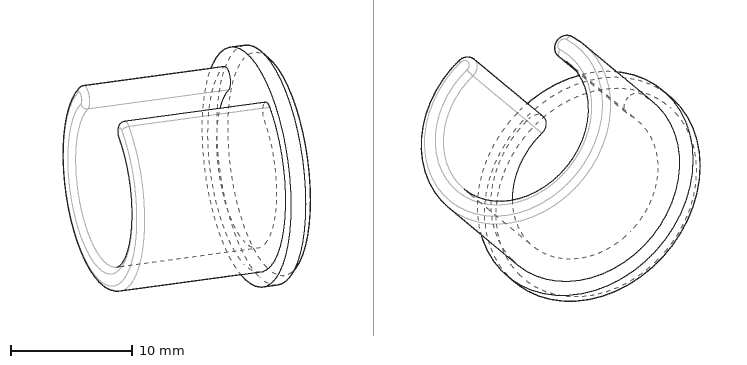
import cadquery as cq
import math

flange_diameter = 20.0
flange_thickness = 2.0
flange_chamfer = 0.7

sleeve_diameter = 17.5
sleeve_length = 13.0
wall = 2.0
rim_fillet = 0.5
half_opening_angle = 36.5

outer_radius = sleeve_diameter / 2
inner_radius = outer_radius - wall
middle_radius = outer_radius - wall / 2


def wall_point(radius, degrees):
    """Point at a radius and an angle measured from +Z towards +X."""
    angle = math.radians(degrees)
    return (radius * math.sin(angle), radius * math.cos(angle))


def end_tip(side):
    """Tip of a rounded wall end: half a wall thickness into the opening."""
    x, z = wall_point(middle_radius, side * half_opening_angle)
    angle = math.radians(half_opening_angle)
    return (x - side * wall / 2 * math.cos(angle), z + wall / 2 * math.sin(angle))


def make_flange():
    """Disc from Y = 0 to +Y, chamfered around its back face."""
    disc = cq.Workplane("XZ").circle(flange_diameter / 2).extrude(-flange_thickness)
    return disc.faces(">Y").edges().chamfer(flange_chamfer)


def make_sleeve():
    """Open ring with rounded wall ends and a filleted free rim."""
    profile = (
        cq.Workplane("XZ")
        .moveTo(*wall_point(outer_radius, half_opening_angle))
        .threePointArc((0, -outer_radius), wall_point(outer_radius, -half_opening_angle))
        .threePointArc(end_tip(-1), wall_point(inner_radius, -half_opening_angle))
        .threePointArc((0, -inner_radius), wall_point(inner_radius, half_opening_angle))
        .threePointArc(end_tip(1), wall_point(outer_radius, half_opening_angle))
        .close()
    )
    return profile.extrude(sleeve_length).faces("<Y").edges().fillet(rim_fillet)


result = make_flange().union(make_sleeve())